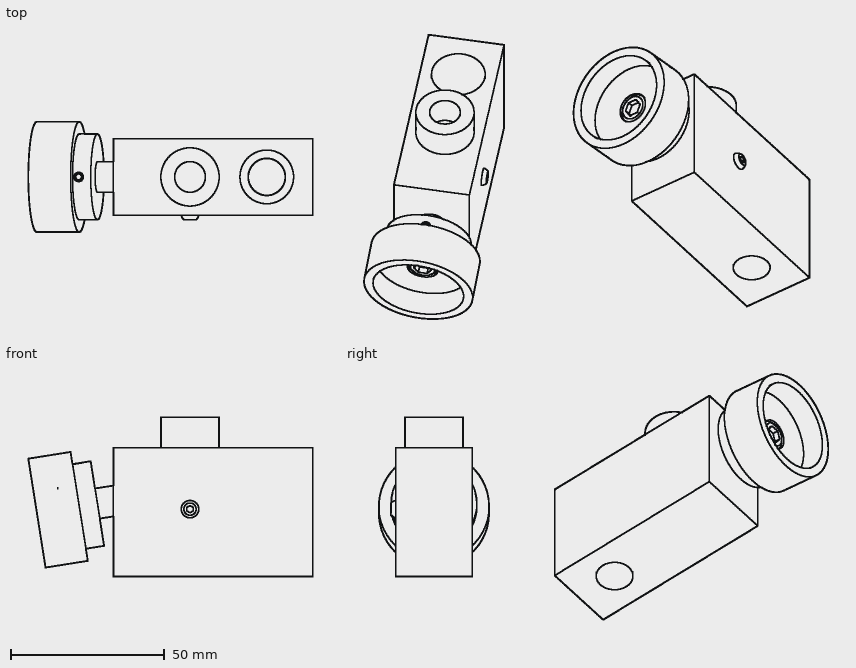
import cadquery as cq
import math

BLOCK_LENGTH = 65.0
BLOCK_WIDTH = 25.0
BLOCK_HEIGHT = 42.0

PORT_X = 25.0
BOSS_DIAMETER = 19.0
BOSS_HEIGHT = 10.0
PORT_DIAMETER = 10.0
PORT_DEPTH = BOSS_HEIGHT

MOUNT_X = 50.0
MOUNT_DIAMETER = 12.0
COUNTERBORE_DIAMETER = 17.5
COUNTERBORE_DEPTH = BLOCK_HEIGHT / 2

SCREW_X = PORT_X
SCREW_Z = 22.0
SCREW_DIAMETER = 5.8
SCREW_TIP_DIAMETER = 4.0
SCREW_HEIGHT = 1.5
SCREW_HEX = 2.0
SCREW_HEX_DEPTH = 1.0

TILT = math.radians(9.0)
AXIS_Z = 24.65
KNOB_OVERHANG = 27.71

KNOB_DIAMETER = 36.0
KNOB_WIDTH = 14.0
RECESS_DIAMETER = 30.0
RECESS_DEPTH = 8.0
COLLAR_DIAMETER = 28.0
COLLAR_WIDTH = 6.0

SPINDLE_DIAMETER = 10.0
SPINDLE_CHAMFER = 1.0
SPINDLE_EMBED = 5.0
SPINDLE_HEX = 5.0
SPINDLE_HEX_DEPTH = 2.0

LOCK_OFFSET = 2.0
LOCK_OUTER_DIAMETER = 3.0
LOCK_INNER_DIAMETER = 2.0
LOCK_DEPTH = 0.15

axis_direction = cq.Vector(math.cos(TILT), 0, math.sin(TILT))
axis_up = cq.Vector(-math.sin(TILT), 0, math.cos(TILT))
knob_x = -KNOB_OVERHANG + KNOB_DIAMETER / 2 * math.sin(TILT)
knob_center = cq.Vector(knob_x, 0, AXIS_Z + knob_x * math.tan(TILT))
knob_to_block = -knob_x / math.cos(TILT)


def axis_disc(start, diameter, length):
    """Cylinder on the tilted axis, starting a given distance behind the knob's front face."""
    plane = cq.Plane(knob_center + axis_direction * start, xDir=(0, 1, 0), normal=axis_direction)
    return cq.Workplane(plane).circle(diameter / 2).extrude(length)


def hex_prism(plane, across_flats, depth):
    """Hexagonal prism with two of its corners on the plane's X direction."""
    across_corners = across_flats / math.cos(math.pi / 6)
    return cq.Workplane(plane).polygon(6, across_corners).extrude(depth)


def make_block():
    block = cq.Workplane().box(BLOCK_LENGTH, BLOCK_WIDTH, BLOCK_HEIGHT, centered=(False, True, False))
    mount_plane = block.faces(">Z").workplane(origin=(MOUNT_X, 0, 0))
    return mount_plane.cboreHole(MOUNT_DIAMETER, COUNTERBORE_DIAMETER, COUNTERBORE_DEPTH)


def make_boss():
    boss = cq.Workplane(origin=(PORT_X, 0, BLOCK_HEIGHT)).circle(BOSS_DIAMETER / 2).extrude(BOSS_HEIGHT)
    return boss.faces(">Z").workplane().hole(PORT_DIAMETER, PORT_DEPTH)


def make_screw():
    """Slice of a sphere between the block's side face and the flat screw tip, with a hex socket."""
    face_y = -BLOCK_WIDTH / 2
    tip_y = face_y - SCREW_HEIGHT
    sphere_y = tip_y + math.sqrt(SCREW_DIAMETER ** 2 - SCREW_TIP_DIAMETER ** 2) / 2
    sphere = cq.Workplane(origin=(SCREW_X, sphere_y, SCREW_Z)).sphere(SCREW_DIAMETER / 2)
    face_plane = cq.Plane((SCREW_X, face_y, SCREW_Z), xDir=(0, 0, 1), normal=(0, -1, 0))
    slab = cq.Workplane(face_plane).circle(SCREW_DIAMETER).extrude(SCREW_HEIGHT)
    tip_plane = cq.Plane((SCREW_X, tip_y, SCREW_Z), xDir=(0, 0, 1), normal=(0, 1, 0))
    return sphere.intersect(slab).cut(hex_prism(tip_plane, SCREW_HEX, SCREW_HEX_DEPTH))


def make_spindle():
    length = knob_to_block - RECESS_DEPTH + SPINDLE_EMBED
    spindle = axis_disc(RECESS_DEPTH, SPINDLE_DIAMETER, length)
    spindle = spindle.faces("<X").chamfer(SPINDLE_CHAMFER)
    end_center = knob_center + axis_direction * RECESS_DEPTH
    end_plane = cq.Plane(end_center, xDir=(0, 1, 0), normal=axis_direction)
    return spindle.cut(hex_prism(end_plane, SPINDLE_HEX, SPINDLE_HEX_DEPTH))


def make_housing():
    """Block with its port boss, adjusting screw and tilted spindle."""
    return make_block().union(make_boss()).union(make_screw()).union(make_spindle())


def make_lock_ring():
    """Cutter for the ring groove, square to the tilted axis and open above the collar."""
    along_axis = axis_direction * (KNOB_WIDTH + LOCK_OFFSET)
    floor_center = knob_center + along_axis + axis_up * (COLLAR_DIAMETER / 2 - LOCK_DEPTH)
    floor_plane = cq.Plane(floor_center, xDir=(0, 1, 0), normal=axis_up)
    ring = cq.Workplane(floor_plane).circle(LOCK_OUTER_DIAMETER / 2).circle(LOCK_INNER_DIAMETER / 2)
    return ring.extrude(2 * LOCK_DEPTH)


def make_knob():
    """Cupped knob with a collar behind it, bored to fit over the spindle."""
    knob = axis_disc(0, KNOB_DIAMETER, KNOB_WIDTH)
    knob = knob.union(axis_disc(KNOB_WIDTH, COLLAR_DIAMETER, COLLAR_WIDTH))
    knob = knob.cut(axis_disc(0, RECESS_DIAMETER, RECESS_DEPTH))
    knob = knob.cut(axis_disc(0, SPINDLE_DIAMETER, KNOB_WIDTH + COLLAR_WIDTH))
    return knob.cut(make_lock_ring())


housing = make_housing()
knob = make_knob()
result = cq.Compound.makeCompound([housing.solids().val(), knob.solids().val()])